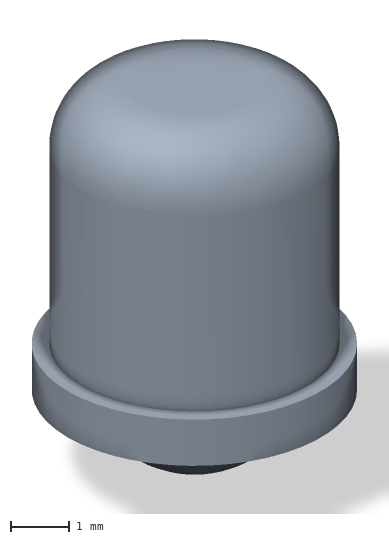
import cadquery as cq

total_height = 7.39

ball_radius = 2.0
ball_protrusion = 1.4

flange_diameter = 5.6
flange_height = 0.9

body_diameter = 4.995
top_round_radius = body_diameter / 4
body_height = total_height - ball_protrusion - flange_height


def make_flange():
    """Disc standing on the plane Z = 0."""
    return cq.Workplane("XY").circle(flange_diameter / 2).extrude(flange_height)


def make_body():
    """Cylinder on top of the flange, rounded around its upper edge."""
    cylinder = (
        cq.Workplane("XY")
        .workplane(offset=flange_height)
        .circle(body_diameter / 2)
        .extrude(body_height)
    )
    return cylinder.faces(">Z").edges().fillet(top_round_radius)


def make_ball():
    """Sphere seated in the flange, with only its lower cap exposed."""
    ball_center_z = ball_radius - ball_protrusion
    return cq.Workplane("XY").sphere(ball_radius).translate((0, 0, ball_center_z))


result = make_flange().union(make_body()).union(make_ball())